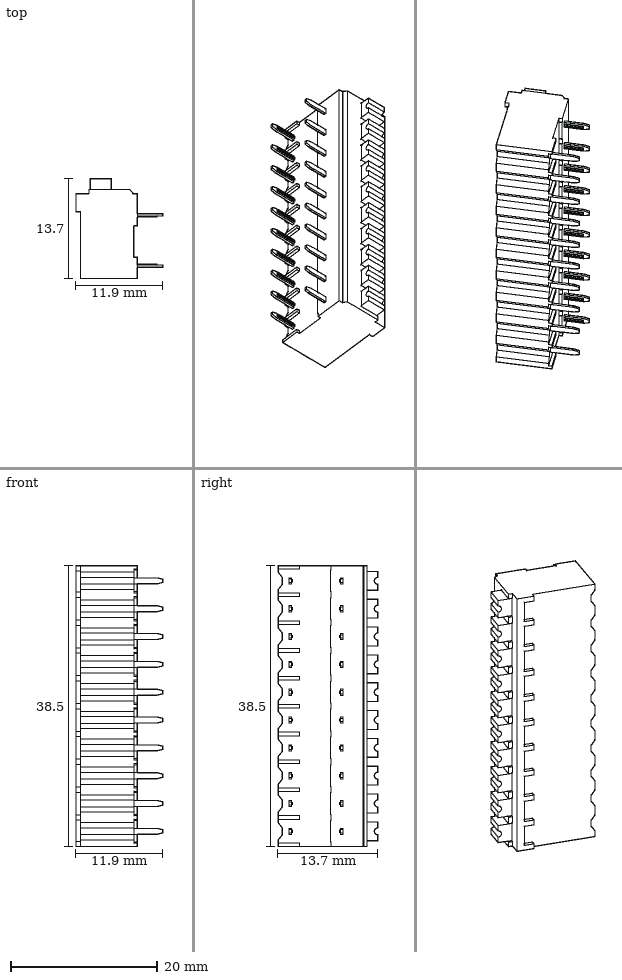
import cadquery as cq

pole_count = 10
pitch = 3.8
length = 38.5
half_length = length / 2

lip_depth = 0.6
recess_x = 7.93
back_x = 8.4
shelf_y = 11.62
top_y = 12.2
step_x = 1.77
bevel_start_x = 7.35
bevel_end_x = 7.77
bevel_end_y = 11.75

lip_bottom_y = 10.55
rib_bottom_y = 9.12
rib_width = 0.75

foot_top_y = 2.93
foot_width = 0.5
upper_wall_y = 7.27
pad_bottom_y = 7.15
pad_width = 2.95

groove_depth = 0.58
groove_mouth = 2.4
groove_floor = 0.92

latch_start_x = 1.92
latch_end_x = 4.85
latch_top_y = 13.65
latch_width = 2.6
slot_width = 2.85
notch_radius = 0.45

lower_row_y = 1.7
upper_row_y = 8.7
pin_thickness = 0.35
pin_width = 0.85
pin_tip_width = 0.45
pin_taper_x = 11.12
pin_end_x = 11.9
pin_embed = 0.4

bead_width = 0.3
bead_height = 0.1

pole_centers = [(i - (pole_count - 1) / 2) * pitch for i in range(pole_count)]
inner_boundaries = [z + pitch / 2 for z in pole_centers[:-1]]


def box(x_range, y_range, z_range):
    """Box between the given limits on each axis."""
    (x0, x1), (y0, y1), (z0, z1) = x_range, y_range, z_range
    return cq.Workplane("XY").box(x1 - x0, y1 - y0, z1 - z0, centered=False).translate((x0, y0, z0))


def centered_span(center, width):
    """Limits of a span of the given width about its center."""
    return center - width / 2, center + width / 2


def boundary_spans(width):
    """Z spans at both body ends (flush with them) and at every inner pole boundary."""
    ends = [(-half_length, width - half_length), (half_length - width, half_length)]
    return ends + [centered_span(z, width) for z in inner_boundaries]


def make_core():
    """Constant section running the full length, without the lip ribs and feet."""
    outline = [
        (lip_depth, 0),
        (recess_x, 0),
        (recess_x, upper_wall_y),
        (back_x, upper_wall_y),
        (back_x, shelf_y),
        (bevel_end_x, shelf_y),
        (bevel_end_x, bevel_end_y),
        (bevel_start_x, top_y),
        (step_x, top_y),
        (step_x, shelf_y),
        (0, shelf_y),
        (0, lip_bottom_y),
        (lip_depth, lip_bottom_y),
    ]
    return cq.Workplane("XY").workplane(offset=-half_length).polyline(outline).close().extrude(length)


def make_groove(z):
    """Cutter for one trapezoidal groove, open at both X faces of the core."""
    profile = [
        (0, z - groove_mouth / 2),
        (groove_depth, z - groove_floor / 2),
        (groove_depth, z + groove_floor / 2),
        (0, z + groove_mouth / 2),
    ]
    return cq.Workplane("YZ").polyline(profile).close().extrude(recess_x)


def make_latch(z):
    """Latch block with a half-round notch along X in its top."""
    block = box((latch_start_x, latch_end_x), (shelf_y, latch_top_y), centered_span(z, latch_width))
    notch = cq.Workplane("YZ").center(latch_top_y, z).circle(notch_radius).extrude(back_x)
    return block.cut(notch)


def make_pin(y, z, inner_side):
    """Flat pin with a narrowing tip; inner_side (+1 or -1) is the Y direction of its beaded face."""
    half_width = pin_width / 2
    half_tip = pin_tip_width / 2
    start_x = recess_x - pin_embed
    outline = [
        (start_x, z - half_width),
        (pin_taper_x, z - half_width),
        (pin_end_x, z - half_tip),
        (pin_end_x, z + half_tip),
        (pin_taper_x, z + half_width),
        (start_x, z + half_width),
    ]
    flat = cq.Workplane("XZ").polyline(outline).close().extrude(pin_thickness / 2, both=True)
    bead_reach = pin_thickness / 2 + bead_height
    bead_y = sorted((0, inner_side * bead_reach))
    bead = box((start_x, pin_taper_x), bead_y, centered_span(z, bead_width))
    return flat.union(bead).translate((0, y, 0))


body = make_core()

for z in pole_centers:
    slot = box((step_x, latch_end_x), (shelf_y, top_y), centered_span(z, slot_width))
    body = body.cut(make_groove(z)).cut(slot)

for z_span in boundary_spans(rib_width):
    body = body.union(box((0, lip_depth), (rib_bottom_y, lip_bottom_y), z_span))

for z_span in boundary_spans(foot_width):
    body = body.union(box((recess_x, back_x), (0, foot_top_y), z_span))

for z in pole_centers:
    pad = box((recess_x, back_x), (pad_bottom_y, upper_wall_y), centered_span(z, pad_width))
    body = body.union(pad).union(make_latch(z))
    body = body.union(make_pin(lower_row_y, z, 1)).union(make_pin(upper_row_y, z, -1))

result = body